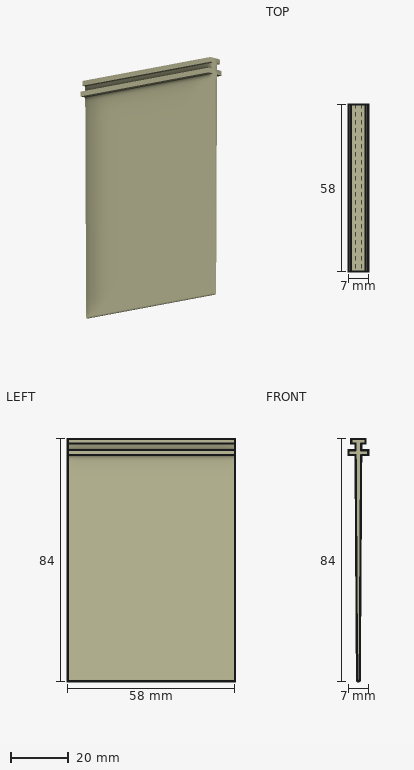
import cadquery as cq

length = 58.0
height = 84.0

cap_width = 5.0
flange_width = 7.0
bar_thickness = 1.7
stem_width = 2.0
cap_to_flange_gap = 2.3

tip_width = 1.0
tip_radius = tip_width / 2

cap_bottom = height - bar_thickness
flange_top = cap_bottom - cap_to_flange_gap
flange_bottom = flange_top - bar_thickness


def long_bar(width, bottom, top):
    """Rectangular bar running the full length, centred on X and Y."""
    return cq.Workplane("XY").box(width, length, top - bottom, centered=(True, True, False)).translate(
        (0, 0, bottom)
    )


def tapered_blade():
    """Symmetric blade profile extruded along the length."""
    return (
        cq.Workplane("XZ")
        .moveTo(-tip_radius, tip_radius)
        .threePointArc((0, 0), (tip_radius, tip_radius))
        .lineTo(stem_width / 2, flange_bottom)
        .lineTo(-stem_width / 2, flange_bottom)
        .close()
        .extrude(length / 2, both=True)
    )


cap = long_bar(cap_width, cap_bottom, height)
stem = long_bar(stem_width, flange_top, cap_bottom)
flange = long_bar(flange_width, flange_bottom, flange_top)

result = tapered_blade().union(flange).union(stem).union(cap)